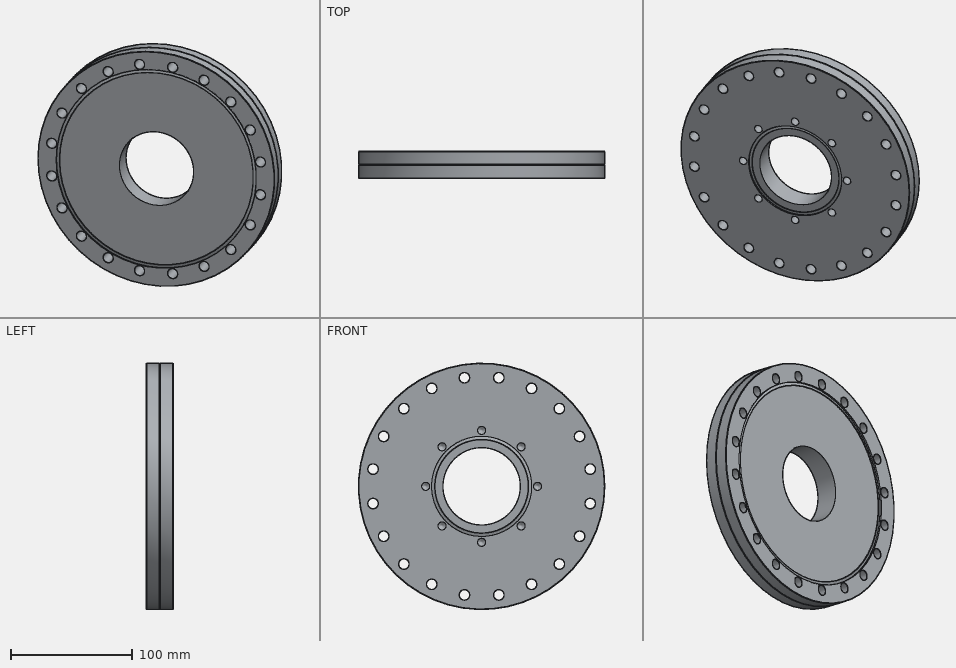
import cadquery as cq
import math

outer_diameter = 203.0
thickness = 22.4
front_y = -thickness / 2
back_y = thickness / 2
rim_chamfer = 0.5
bore_diameter = 63.5

rim_groove_width = 1.0
rim_groove_depth = 0.3

front_seal_diameter = 82.5
back_seal_diameter = 171.4
seal_trough_width = 2.55
seal_depth = 1.6
knife_depth = 0.8
land_depth = 1.15

bolt_count = 20
bolt_circle = 181.0
bolt_hole_diameter = 8.4
bolt_hole_chamfer = 0.2

tapped_count = 8
tapped_circle = 92.1
tapped_diameter = 6.65
tapped_depth = 14.0
drill_tip_height = 2.0


def seal_profile(seal_diameter, face_y, inward):
    """Points from the land out to the face; inward is the Y sign pointing into the disc."""
    seal_r = seal_diameter / 2
    knife_r = seal_r - seal_trough_width
    land_r = knife_r - (land_depth - knife_depth)
    return [
        (land_r, face_y + inward * land_depth),
        (knife_r, face_y + inward * knife_depth),
        (seal_r, face_y + inward * seal_depth),
        (seal_r, face_y),
    ]


def make_disc():
    """Disc with the bore, both seals and the rim details, revolved about Y."""
    outer_r = outer_diameter / 2
    bore_r = bore_diameter / 2
    rim = [
        (outer_r - rim_chamfer, front_y),
        (outer_r, front_y + rim_chamfer),
        (outer_r, -rim_groove_width / 2),
        (outer_r - rim_groove_depth, 0),
        (outer_r, rim_groove_width / 2),
        (outer_r, back_y - rim_chamfer),
        (outer_r - rim_chamfer, back_y),
    ]
    front_seal = seal_profile(front_seal_diameter, front_y, 1)
    back_seal = seal_profile(back_seal_diameter, back_y, -1)
    profile = [(bore_r, front_y + land_depth)]
    profile += front_seal + rim + back_seal[::-1]
    profile.append((bore_r, back_y - land_depth))
    return cq.Workplane("XY").polyline(profile).close().revolve(360, (0, 0, 0), (0, 1, 0))


def circle_points(circle_diameter, count, start_angle):
    """Evenly spaced (x, z) points on a circle; start_angle is in degrees."""
    angles = [math.radians(start_angle + 360 * i / count) for i in range(count)]
    radius = circle_diameter / 2
    return [(radius * math.cos(a), radius * math.sin(a)) for a in angles]


def cut_bolt_holes(body):
    """Through holes chamfered at both faces."""
    radius = bolt_hole_diameter / 2
    mouth_r = radius + bolt_hole_chamfer
    section = [
        (0, front_y),
        (mouth_r, front_y),
        (radius, front_y + bolt_hole_chamfer),
        (radius, back_y - bolt_hole_chamfer),
        (mouth_r, back_y),
        (0, back_y),
    ]
    cutter = cq.Workplane("XY").polyline(section).close().revolve(360, (0, 0, 0), (0, 1, 0))
    half_pitch = 360 / bolt_count / 2
    for x, z in circle_points(bolt_circle, bolt_count, half_pitch):
        body = body.cut(cutter.translate((x, 0, z)))
    return body


def cut_tapped_holes(body):
    """Drilled holes with conical bottoms, entering from the front face."""
    radius = tapped_diameter / 2
    section = [
        (0, 0),
        (radius, 0),
        (radius, tapped_depth),
        (0, tapped_depth + drill_tip_height),
    ]
    drill = cq.Workplane("XY").polyline(section).close().revolve(360, (0, 0, 0), (0, 1, 0))
    for x, z in circle_points(tapped_circle, tapped_count, 0):
        body = body.cut(drill.translate((x, front_y, z)))
    return body


result = make_disc()
result = cut_bolt_holes(result)
result = cut_tapped_holes(result)